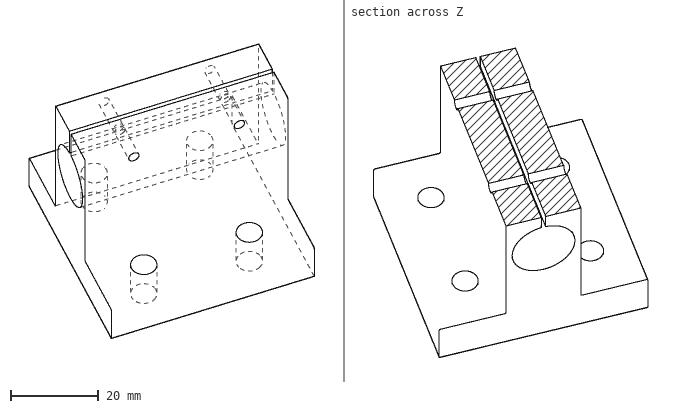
import cadquery as cq

base_width = 50.0
length = 50.0
height = 45.0
base_height = 10.0
post_width = 18.0
edge_radius = 0.5
bottom_edge_radius = 0.3
inner_corner_radius = 0.25

bore_diameter = 15.0
bore_height = 30.0
slit_width = 1.0

hole_spacing_y = 26.0
mount_spacing_x = 30.0
mount_diameter = 6.0
clamp_diameter = 2.55
clamp_height = 41.0


def make_body():
    """T-shaped block with rounded outer long edges and filleted inner corners."""
    base = (
        cq.Workplane("XY")
        .box(base_width, length, base_height, centered=(True, True, False))
        .edges("|Y and >Z")
        .fillet(edge_radius)
        .edges("|Y and <Z")
        .fillet(bottom_edge_radius)
    )
    post = (
        cq.Workplane("XY")
        .box(post_width, length, height, centered=(True, True, False))
        .edges("|Y and >Z")
        .fillet(edge_radius)
    )
    inner_corners = cq.selectors.BoxSelector(
        (-post_width / 2 - edge_radius, -length, base_height - edge_radius / 2),
        (post_width / 2 + edge_radius, length, base_height + edge_radius / 2),
    )
    return base.union(post).edges("|Y").edges(inner_corners).fillet(inner_corner_radius)


def make_bore():
    """Shaft bore along Y, opened to the top by the clamping slit."""
    bore = (
        cq.Workplane("XZ")
        .center(0, bore_height)
        .circle(bore_diameter / 2)
        .extrude(length / 2, both=True)
    )
    slit = (
        cq.Workplane("XY")
        .workplane(offset=bore_height)
        .box(slit_width, length, height - bore_height, centered=(True, True, False))
    )
    return bore.union(slit)


def make_mount_holes():
    """Four vertical through holes in the base flanges."""
    return (
        cq.Workplane("XY")
        .rarray(mount_spacing_x, hole_spacing_y, 2, 2)
        .circle(mount_diameter / 2)
        .extrude(base_height)
    )


def make_clamp_holes():
    """Two horizontal through holes crossing the slit."""
    return (
        cq.Workplane("YZ")
        .center(0, clamp_height)
        .rarray(hole_spacing_y, 0.5, 2, 1)
        .circle(clamp_diameter / 2)
        .extrude(post_width / 2, both=True)
    )


result = make_body().cut(make_bore()).cut(make_mount_holes()).cut(make_clamp_holes())